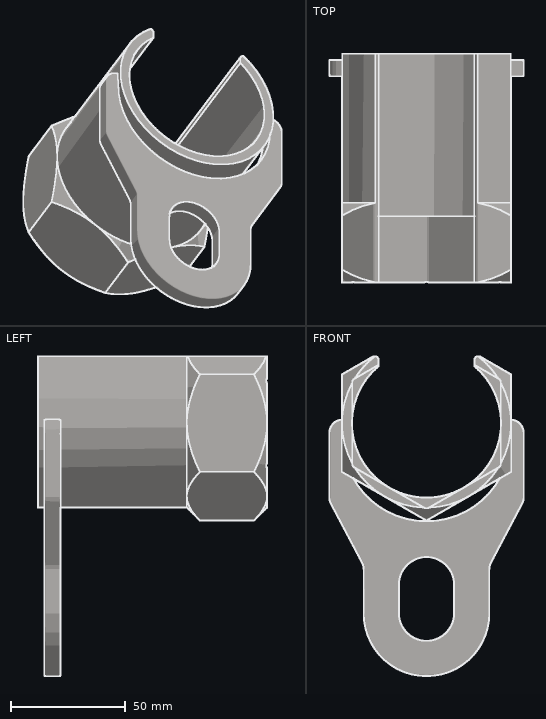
import cadquery as cq
import math

total_length = 100.0
socket_size = 73.8
bore_size = 65.0
nut_length = 35.0
inner_hex_depth = 29.0
inner_corner_radius = 2.0
opening_width = 41.8
lip_radius = 1.7

plate_thickness = 7.2
plate_end_gap = 2.7
plate_width = 85.0
plate_top = 1.6
plate_corner_radius = 6.0
shoulder_z = -33.8
waist_z = -62.2
tail_width = 55.0
tail_center_z = -83.0
plate_edge_radius = 0.6
saddle_radius = 36.6
saddle_center_z = -6.2
slot_width = 24.0
slot_center_spacing = 12.5

front_y = -total_length / 2
rear_y = total_length / 2
nut_rear_y = front_y + nut_length
slot_top_center_z = tail_center_z + slot_center_spacing
plate_rear_y = rear_y - plate_end_gap
hex_corner_ratio = 1 / math.cos(math.radians(30))
reach = 2 * socket_size


def section_at(y):
    """Workplane across the axis; its x and y are X and Z, and extrusion runs toward -Y."""
    return cq.Workplane("XZ", origin=(0, y, 0))


def hex_prism(across_flats, start_y, length):
    """Hexagonal prism with corners at the top and bottom, running toward -Y."""
    corner_radius = across_flats / 2 * hex_corner_ratio
    corners = []
    for index in range(6):
        angle = math.radians(90 + 60 * index)
        corners.append((corner_radius * math.cos(angle), corner_radius * math.sin(angle)))
    return section_at(start_y).polyline(corners).close().extrude(length)


def make_opened_prism():
    """Full-length hexagonal prism, open at the top, with its two outer lip edges rounded."""
    prism = hex_prism(socket_size, rear_y, total_length)
    opening = cq.Workplane("XY").rect(opening_width, reach).extrude(reach)
    lip_finder = cq.selectors.BoxSelector(
        (-opening_width / 2 - lip_radius, front_y, 0),
        (opening_width / 2 + lip_radius, rear_y, reach),
    )
    opened = prism.cut(opening)
    lip_edges = opened.edges("|Y").edges(lip_finder)
    return lip_edges.fillet(lip_radius)


def make_turned_blank():
    """Round sleeve and, at the front, a collar with a 45 degree cone at each end.

    The cones start at the flats of the nut, so they only trim its corners.
    """
    sleeve_radius = socket_size / 2
    collar_radius = sleeve_radius * hex_corner_ratio
    cone_depth = collar_radius - sleeve_radius
    return (
        cq.Workplane("XY")
        .moveTo(0, front_y)
        .lineTo(sleeve_radius, front_y)
        .lineTo(collar_radius, front_y + cone_depth)
        .lineTo(collar_radius, nut_rear_y - cone_depth)
        .lineTo(sleeve_radius, nut_rear_y)
        .lineTo(sleeve_radius, rear_y)
        .lineTo(0, rear_y)
        .close()
        .revolve(360, (0, 0, 0), (0, 1, 0))
    )


def make_plate():
    """Hanger plate with two arms beside the sleeve, a U-shaped saddle and a slot in its tail."""
    half_width = plate_width / 2
    half_tail = tail_width / 2
    plate = (
        section_at(plate_rear_y)
        .moveTo(-half_width, plate_top)
        .lineTo(half_width, plate_top)
        .lineTo(half_width, shoulder_z)
        .lineTo(half_tail, waist_z)
        .lineTo(half_tail, tail_center_z)
        .threePointArc((0, tail_center_z - half_tail), (-half_tail, tail_center_z))
        .lineTo(-half_tail, waist_z)
        .lineTo(-half_width, shoulder_z)
        .close()
        .extrude(plate_thickness)
    )
    corner_finder = cq.selectors.BoxSelector(
        (-reach, front_y, slot_top_center_z), (reach, rear_y, reach)
    )
    plate = plate.edges("|Y").edges(corner_finder).fillet(plate_corner_radius)
    plate = plate.faces("<Y or >Y").edges().fillet(plate_edge_radius)

    saddle = (
        section_at(rear_y)
        .moveTo(saddle_radius, reach)
        .lineTo(saddle_radius, saddle_center_z)
        .threePointArc((0, saddle_center_z - saddle_radius), (-saddle_radius, saddle_center_z))
        .lineTo(-saddle_radius, reach)
        .close()
        .extrude(total_length)
    )
    slot = (
        section_at(rear_y)
        .center(0, tail_center_z + slot_center_spacing / 2)
        .slot2D(slot_center_spacing + slot_width, slot_width, 90)
        .extrude(total_length)
    )
    return plate.cut(saddle).cut(slot)


def make_bore():
    """Round bore through the length and the inner hexagon at the nut end."""
    bore = section_at(rear_y).circle(bore_size / 2).extrude(total_length)
    hex_socket = hex_prism(bore_size, front_y + inner_hex_depth, inner_hex_depth)
    hex_socket = hex_socket.edges("|Y").fillet(inner_corner_radius)
    return bore.union(hex_socket)


socket_body = make_turned_blank().intersect(make_opened_prism()).cut(make_bore())
result = socket_body.union(make_plate())